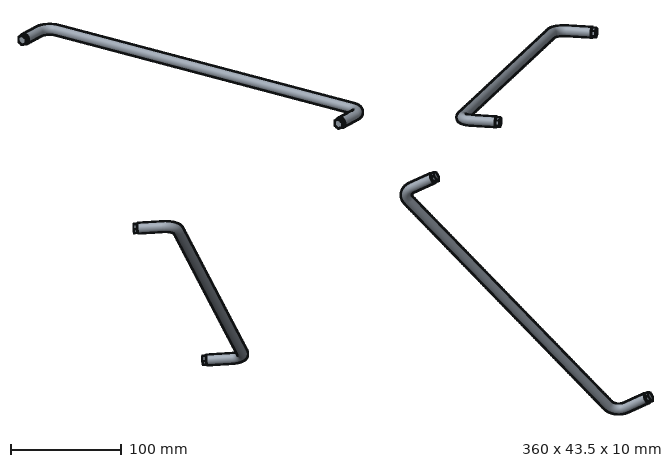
import cadquery as cq

length = 360.0
depth = 43.5
rod_diameter = 10.0
bend_radius = 12.0

tip_corner_diameter = 9.5
tip_length = 3.2
shoulder_chamfer = 0.7

rod_radius = rod_diameter / 2
leg_x = length / 2 - rod_radius
grip_y = depth - rod_radius
straight_half = leg_x - bend_radius
bend_start_y = grip_y - bend_radius


def bent_rod():
    """Round rod swept up one leg, along the grip and down the other leg."""
    path = (
        cq.Workplane("XY")
        .moveTo(-leg_x, tip_length)
        .lineTo(-leg_x, bend_start_y)
        .tangentArcPoint((-straight_half, grip_y), relative=False)
        .lineTo(straight_half, grip_y)
        .tangentArcPoint((leg_x, bend_start_y), relative=False)
        .lineTo(leg_x, tip_length)
    )
    return cq.Workplane("XZ", origin=(-leg_x, tip_length, 0)).circle(rod_radius).sweep(path)


def hexagonal_tip(x):
    """Short hexagonal stub that ends a leg at y = 0."""
    return (
        cq.Workplane("XZ", origin=(x, 0, 0))
        .transformed(rotate=(0, 0, 90))
        .polygon(6, tip_corner_diameter)
        .extrude(-tip_length)
    )


result = bent_rod().faces("<Y").chamfer(shoulder_chamfer)
for x in (-leg_x, leg_x):
    result = result.union(hexagonal_tip(x))